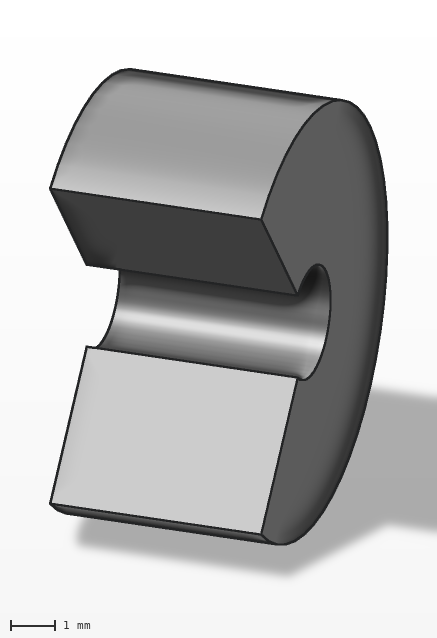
import cadquery as cq
import math

outer_radius = 5.0
bore_radius = 1.3
thickness = 5.0
half_opening_angle = 50.0


def point_at(radius, angle):
    """Point (Y, Z) at an angle in degrees measured from -Y towards +Z."""
    radians = math.radians(angle)
    return (-radius * math.cos(radians), radius * math.sin(radians))


result = (
    cq.Workplane("YZ")
    .moveTo(*point_at(outer_radius, half_opening_angle))
    .threePointArc((outer_radius, 0), point_at(outer_radius, -half_opening_angle))
    .lineTo(*point_at(bore_radius, -half_opening_angle))
    .threePointArc((bore_radius, 0), point_at(bore_radius, half_opening_angle))
    .close()
    .extrude(thickness)
)